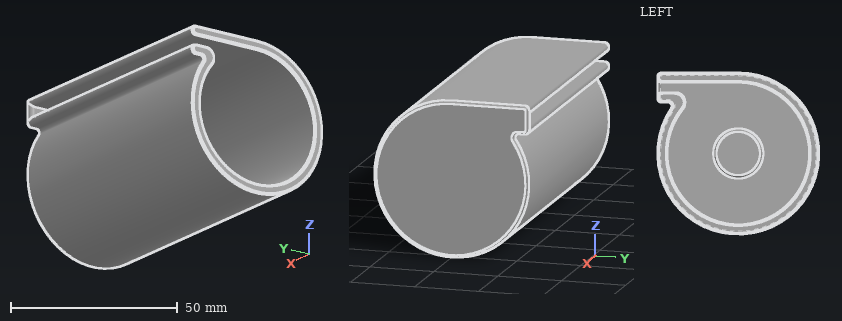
import cadquery as cq
import math

length = 84.5
outer_radius = 24.25
wall = 2.95
end_plate = wall
inner_radius = outer_radius - wall
plate_inner_x = length - end_plate

slot_height = 2.95
lip_thickness = 3.0
mouth_y = outer_radius
slot_top = inner_radius
slot_bottom = slot_top - slot_height
lip_bottom = slot_bottom - lip_thickness
inner_bend_radius = 3.0
outer_bend_radius = 1.1
mouth_round = 1.4

open_end_chamfer = 0.4
closed_end_chamfer = 0.9

boss_diameter = 15.0
boss_height = wall
boss_chamfer = 1.0


def arc_point(center, radius, angle):
    """Point on a circle in the YZ plane at the given angle from +Y."""
    return (center[0] + radius * math.cos(angle), center[1] + radius * math.sin(angle))


def snail_prism(radius, ledge_z, bend_radius, end_y, depth):
    """Extruded circle whose top runs out flat to end_y and returns on a ledge that bends into the circle."""
    bend_z = ledge_z - bend_radius
    bend_y = math.sqrt((radius + bend_radius) ** 2 - bend_z**2)
    bend_center = (bend_y, bend_z)
    join_angle = math.atan2(bend_z, bend_y)
    bend_middle_angle = (math.pi / 2 + join_angle + math.pi) / 2
    circle_middle_angle = (join_angle - 1.5 * math.pi) / 2
    axis = (0, 0)
    return (
        cq.Workplane("YZ")
        .moveTo(0, radius)
        .lineTo(end_y, radius)
        .lineTo(end_y, ledge_z)
        .lineTo(bend_y, ledge_z)
        .threePointArc(
            arc_point(bend_center, bend_radius, bend_middle_angle),
            arc_point(axis, radius, join_angle),
        )
        .threePointArc(arc_point(axis, radius, circle_middle_angle), (0, radius))
        .close()
        .extrude(depth)
    )


def make_shell():
    """Tube with its mouth, end plate and rounded or chamfered edges."""
    body = snail_prism(outer_radius, lip_bottom, outer_bend_radius, mouth_y, length)
    cavity_end_y = mouth_y + wall
    cavity = snail_prism(inner_radius, slot_bottom, inner_bend_radius, cavity_end_y, plate_inner_x)
    shell = body.cut(cavity)

    shell = shell.faces(">Y").edges("|X").fillet(mouth_round)
    slot_middle = (plate_inner_x, mouth_y, (slot_top + slot_bottom) / 2)
    shell = shell.edges(cq.selectors.NearestToPointSelector(slot_middle)).fillet(mouth_round)

    shell = shell.faces("<X").chamfer(open_end_chamfer)
    return shell.faces(">X").chamfer(closed_end_chamfer)


def make_boss():
    """Round chamfered boss, rooted in the end plate and facing the open end."""
    boss = cq.Workplane("YZ", origin=(plate_inner_x, 0, 0)).circle(boss_diameter / 2).extrude(-boss_height)
    return boss.faces("<X").chamfer(boss_chamfer)


result = make_shell().union(make_boss())